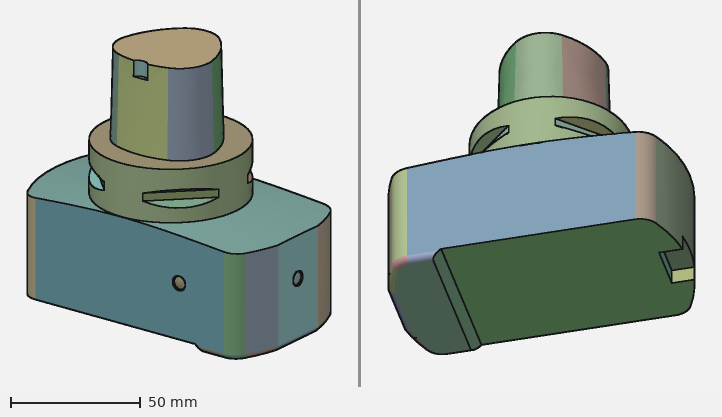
import cadquery as cq
import math

body_width = 63.4
left_end_x = -55.1
left_end_radius = 60.0
left_arc_center_x = left_end_x + left_end_radius
right_end_radius = 62.7
total_length = 116.5
right_flat_x = left_end_x + total_length
corner_radius = 8.0

collar_diameter = 63.0
roof_height = 44.2
roof_cone_radius = 69.9
roof_cone_height = 40.4

collar_top = 66.3
groove_length = 29.5
groove_floor_height = 3.3
groove_mouth_height = 7.7
groove_middle_z = 54.0

shank_top = 104.2
lobe_offset = 8.7
lobe_radius = 14.7
side_distance = 20.3
taper_per_length = 1 / 40

notch_diameter = 8.2
notch_depth = 6.5
notch_center_y = -21.5

slot_width = 20.0
slot_center_y = -1.3
slot_height = 6.0
slot_depth = 10.0
pad_height = 3.0
pad_start_x = 35.6
pad_round = 2.3
pad_start_run = 3.7

side_pin_x = 27.8
pin_z = 23.3
pin_rim_diameter = 6.0
pin_dome_diameter = 5.4
pin_sink = 0.6
pin_dome_rise = 0.5


def tangent_corner(end_radius, arc_center_x, side):
    """Return flat end, arc middle and end-arc start of one +Y corner round."""
    center_y = body_width / 2 - corner_radius
    reach = side * math.sqrt((end_radius - corner_radius) ** 2 - center_y**2)
    center_x = arc_center_x + reach
    end_angle = math.atan2(center_y, reach)
    middle_angle = (end_angle + math.pi / 2) / 2
    return [
        (center_x + corner_radius * math.cos(a), center_y + corner_radius * math.sin(a))
        for a in (math.pi / 2, middle_angle, end_angle)
    ]


def mirrored(point):
    return (point[0], -point[1])


def body_outline(z):
    """Wire of the block outline, with end arcs tangent to the corner rounds."""
    left_flat, left_middle, left_arc = tangent_corner(left_end_radius, left_arc_center_x, -1)
    right_flat, right_middle, right_arc = tangent_corner(right_end_radius, 0, 1)
    return (
        cq.Workplane("XY", origin=(0, 0, z))
        .moveTo(*left_flat)
        .lineTo(*right_flat)
        .threePointArc(right_middle, right_arc)
        .threePointArc((right_end_radius, 0), mirrored(right_arc))
        .threePointArc(mirrored(right_middle), mirrored(right_flat))
        .lineTo(*mirrored(left_flat))
        .threePointArc(mirrored(left_middle), mirrored(left_arc))
        .threePointArc((left_end_x, 0), left_arc)
        .threePointArc(left_middle, left_flat)
        .close()
    )


def right_flat_cutter():
    size = 2 * right_end_radius
    return cq.Workplane("XY").box(size, size, 2 * size).translate((right_flat_x + size / 2, 0, 0))


def make_body():
    collar_radius = collar_diameter / 2
    roof = (
        cq.Workplane("XZ")
        .polyline(
            [
                (0, 0),
                (roof_cone_radius, 0),
                (roof_cone_radius, roof_cone_height),
                (collar_radius, roof_height),
                (0, roof_height),
            ]
        )
        .close()
        .revolve(360, (0, 0), (0, 1))
    )
    return body_outline(0).extrude(roof_height).intersect(roof).cut(right_flat_cutter())


def make_pad():
    """Low pad under the +X end, with a rounded rim and a sloped inner edge."""
    rim = body_outline(-pad_height).extrude(pad_height).faces("<Z").edges().fillet(pad_round)
    profile = (
        cq.Workplane("XZ")
        .moveTo(pad_start_x, 0)
        .lineTo(pad_start_x + pad_start_run, -pad_height)
        .lineTo(right_flat_x - pad_round, -pad_height)
        .radiusArc((right_flat_x, pad_round - pad_height), -pad_round)
        .lineTo(right_flat_x, 0)
        .close()
        .extrude(body_width, both=True)
    )
    return rim.intersect(profile)


def make_groove():
    """Trapezoidal groove cutter across the +X side of the collar."""
    collar_radius = collar_diameter / 2
    floor_x = math.sqrt(collar_radius**2 - (groove_length / 2) ** 2)
    floor_half = groove_floor_height / 2
    mouth_half = groove_mouth_height / 2
    return (
        cq.Workplane("XZ")
        .polyline(
            [
                (floor_x, groove_middle_z - floor_half),
                (collar_radius, groove_middle_z - mouth_half),
                (collar_radius, groove_middle_z + mouth_half),
                (floor_x, groove_middle_z + floor_half),
            ]
        )
        .close()
        .extrude(collar_radius, both=True)
    )


def make_collar():
    height = collar_top - roof_cone_height
    collar = cq.Workplane("XY", origin=(0, 0, roof_cone_height)).circle(collar_diameter / 2).extrude(height)
    for angle in (45, 135, 225, 315):
        collar = collar.cut(make_groove().rotate((0, 0, 0), (0, 0, 1), angle))
    return collar


def polar(radius, degrees):
    angle = math.radians(degrees)
    return (radius * math.cos(angle), radius * math.sin(angle))


def shank_section(sketch, inset):
    """Add a three-lobed outline of tangent arcs, moved inward by inset."""
    half_gap = lobe_offset / 2
    half_span = lobe_offset * math.cos(math.radians(30))
    center_reach = side_distance - lobe_radius
    side_center = (lobe_offset**2 - center_reach**2) / (2 * (center_reach - half_gap))
    side_radius = side_distance + side_center
    half_angle = math.degrees(math.atan2(half_span, side_center + half_gap))

    def side_point(axis_angle, offset_angle):
        center = polar(side_center, axis_angle + 180)
        rim = polar(side_radius - inset, axis_angle + offset_angle)
        return (center[0] + rim[0], center[1] + rim[1])

    sketch = sketch.moveTo(*side_point(30, half_angle))
    for lobe_angle in (90, 210, 330):
        side_angle = lobe_angle + 60
        sketch = sketch.threePointArc(
            polar(lobe_offset + lobe_radius - inset, lobe_angle), side_point(side_angle, -half_angle)
        )
        sketch = sketch.threePointArc(side_point(side_angle, 0), side_point(side_angle, half_angle))
    return sketch.close()


def make_shank():
    height = shank_top - collar_top
    base = shank_section(cq.Workplane("XY", origin=(0, 0, collar_top)), 0)
    shank = shank_section(base.workplane(offset=height), height * taper_per_length).loft(ruled=True)
    notch = (
        cq.Workplane("XY", origin=(0, notch_center_y, shank_top - notch_depth))
        .circle(notch_diameter / 2)
        .extrude(notch_depth)
    )
    return shank.cut(notch)


def make_end_slot():
    return (
        cq.Workplane("XY")
        .box(slot_depth, slot_width, slot_height, centered=(False, True, False))
        .translate((left_end_x, slot_center_y, 0))
    )


def make_pin_recess():
    """Flared round recess cutter along +X with its mouth at the origin and a domed floor."""
    rim_radius = pin_rim_diameter / 2
    dome_radius = pin_dome_diameter / 2
    dome_sphere_radius = (dome_radius**2 + pin_dome_rise**2) / (2 * pin_dome_rise)
    half_radius = dome_radius / 2
    dome_sag = dome_sphere_radius - math.sqrt(dome_sphere_radius**2 - half_radius**2)
    dome_top = pin_sink - pin_dome_rise
    return (
        cq.Workplane("XY")
        .lineTo(0, rim_radius)
        .lineTo(pin_sink, dome_radius)
        .threePointArc((dome_top + dome_sag, half_radius), (dome_top, 0))
        .close()
        .revolve(360, (0, 0), (1, 0))
    )


side_pin = make_pin_recess().rotate((0, 0, 0), (0, 0, 1), 90).translate((side_pin_x, -body_width / 2, pin_z))
end_pin = make_pin_recess().rotate((0, 0, 0), (0, 0, 1), 180).translate((right_flat_x, 0, pin_z))

result = make_body().union(make_pad()).union(make_collar()).union(make_shank())
result = result.cut(make_end_slot()).cut(side_pin).cut(end_pin)